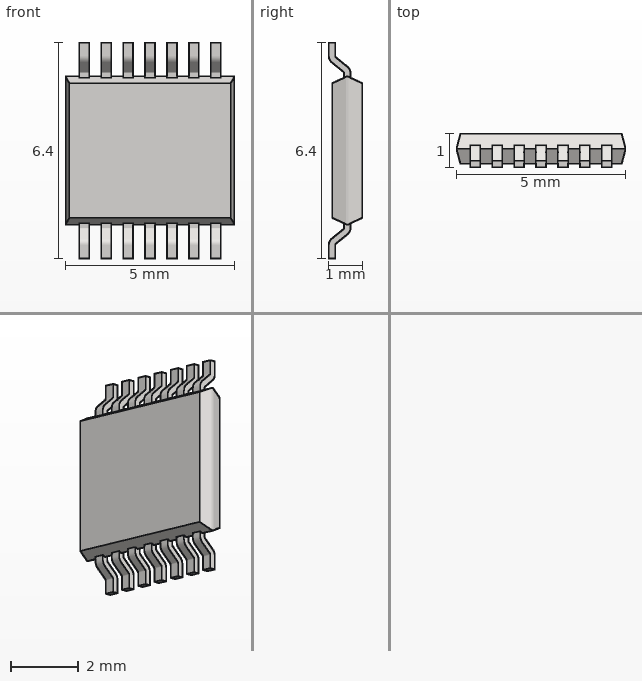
import cadquery as cq
import math

total_height = 6.4
total_depth = 1.0
feet_front = -total_depth / 2

body_width = 5.0
body_height = 4.4
body_depth = 0.895
body_back = total_depth / 2
body_middle = body_back - body_depth / 2
side_inset = 0.11
ridge_inset = 0.205
side_band_depth = 0.08

leads_per_row = 7
lead_row_span = 3.9
lead_pitch = lead_row_span / (leads_per_row - 1)
lead_width = 0.3
lead_thickness = 0.2
outer_bend_radius = 0.5 / 2
inner_bend_radius = outer_bend_radius - lead_thickness
foot_length = 0.4
bend_spacing = 0.505
foot_bend_sweep = 42.0
root_bend_sweep = 53.0
lead_embedment = 0.385


def make_body():
    """Body drafted on all sides: the overlap of a side profile and a plan profile."""
    half_depth = body_depth / 2
    half_height = body_height / 2
    half_width = body_width / 2
    half_band = side_band_depth / 2
    face_half_height = half_height - ridge_inset
    face_half_width = half_width - side_inset

    side_profile = (
        cq.Workplane("YZ")
        .polyline([
            (body_middle - half_depth, -face_half_height),
            (body_middle, -half_height),
            (body_middle + half_depth, -face_half_height),
            (body_middle + half_depth, face_half_height),
            (body_middle, half_height),
            (body_middle - half_depth, face_half_height),
        ])
        .close()
        .extrude(half_width, both=True)
    )
    plan_profile = (
        cq.Workplane("XY")
        .polyline([
            (-face_half_width, body_middle - half_depth),
            (face_half_width, body_middle - half_depth),
            (half_width, body_middle - half_band),
            (half_width, body_middle + half_band),
            (face_half_width, body_middle + half_depth),
            (-face_half_width, body_middle + half_depth),
            (-half_width, body_middle + half_band),
            (-half_width, body_middle - half_band),
        ])
        .close()
        .extrude(half_height, both=True)
    )
    return side_profile.intersect(plan_profile)


def on_circle(centre, radius, angle):
    """Point (Y, Z) on a circle, with the angle measured from +Y."""
    return (centre[0] + radius * math.cos(angle), centre[1] + radius * math.sin(angle))


def make_upper_lead():
    """One lead of the upper row, centred on X = 0."""
    tip = total_height / 2
    root = body_height / 2 - lead_embedment
    foot_back = feet_front + lead_thickness
    root_front = body_middle - lead_thickness / 2
    root_back = body_middle + lead_thickness / 2

    foot_bend = (feet_front + outer_bend_radius, tip - foot_length)
    root_bend = (root_back - outer_bend_radius, foot_bend[1] - bend_spacing)

    foot_end_angle = math.pi + math.radians(foot_bend_sweep)
    foot_mid_angle = math.pi + math.radians(foot_bend_sweep) / 2
    root_end_angle = math.radians(root_bend_sweep)
    root_mid_angle = root_end_angle / 2

    return (
        cq.Workplane("YZ")
        .moveTo(feet_front, tip)
        .lineTo(feet_front, foot_bend[1])
        .threePointArc(
            on_circle(foot_bend, outer_bend_radius, foot_mid_angle),
            on_circle(foot_bend, outer_bend_radius, foot_end_angle),
        )
        .lineTo(*on_circle(root_bend, inner_bend_radius, root_end_angle))
        .threePointArc(
            on_circle(root_bend, inner_bend_radius, root_mid_angle),
            on_circle(root_bend, inner_bend_radius, 0),
        )
        .lineTo(root_front, root)
        .lineTo(root_back, root)
        .lineTo(root_back, root_bend[1])
        .threePointArc(
            on_circle(root_bend, outer_bend_radius, root_mid_angle),
            on_circle(root_bend, outer_bend_radius, root_end_angle),
        )
        .lineTo(*on_circle(foot_bend, inner_bend_radius, foot_end_angle))
        .threePointArc(
            on_circle(foot_bend, inner_bend_radius, foot_mid_angle),
            on_circle(foot_bend, inner_bend_radius, math.pi),
        )
        .lineTo(foot_back, tip)
        .close()
        .extrude(lead_width / 2, both=True)
    )


result = make_body()
upper_lead = make_upper_lead()
lower_lead = upper_lead.mirror("XY")
for index in range(leads_per_row):
    lead_x = index * lead_pitch - lead_row_span / 2
    for lead in (upper_lead, lower_lead):
        result = result.union(lead.translate((lead_x, 0, 0)))